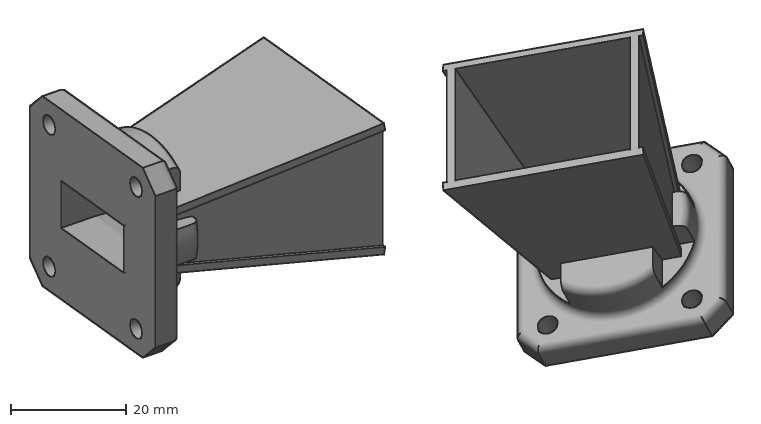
import cadquery as cq
import math

flange_side = 38.1
flange_thickness = 5.2
corner_clip = 3.85
edge_radius = 1.5
hole_diameter = 3.65
hole_spacing_x = 26.3
hole_spacing_z = 28.45

boss_diameter = 29.35
boss_end = 12.75
lug_start = 7.2
upright_lug_width = 16.75
side_lug_height = 7.2

guide_width = 19.0
guide_height = 9.45
horn_length = 49.3
mouth_height = 23.4
sheet = 1.5
plate_start_width = 23.65
plate_end_width = 36.5
plate_overhang = 0.75

horn_run = horn_length - lug_start
side_wall_start_width = plate_start_width - 2 * plate_overhang
side_wall_end_width = plate_end_width - 2 * plate_overhang
mouth_width = side_wall_end_width - (side_wall_start_width - guide_width)
flare_angle = math.atan2((mouth_height - guide_height) / 2, horn_run)


def at_depth(y):
    """Workplane facing +Y at depth y, with its local Y axis along +Z."""
    return cq.Workplane(cq.Plane(origin=(0, y, 0), xDir=(-1, 0, 0), normal=(0, 1, 0)))


def flared_block(start_width, start_height, end_width, end_height):
    """Rectangular frustum that runs the length of the horn."""
    return (
        at_depth(lug_start)
        .rect(start_width, start_height)
        .workplane(offset=horn_run)
        .rect(end_width, end_height)
        .loft(ruled=True)
    )


def make_flange():
    flange = at_depth(0).rect(flange_side, flange_side).extrude(flange_thickness)
    flange = flange.edges("|Y").chamfer(corner_clip)
    return flange.faces(">Y").edges().fillet(edge_radius)


def make_boss():
    """Boss with a rounded rim and a concave fillet at its foot, cut back to a cross."""
    radius = boss_diameter / 2
    foot_end = flange_thickness + edge_radius
    rim_start = boss_end - edge_radius
    bend = edge_radius * math.sqrt(0.5)
    boss = (
        cq.Workplane("XY")
        .lineTo(radius + edge_radius, 0)
        .lineTo(radius + edge_radius, flange_thickness)
        .threePointArc((radius + edge_radius - bend, foot_end - bend), (radius, foot_end))
        .lineTo(radius, rim_start)
        .threePointArc(
            (radius - edge_radius + bend, rim_start + bend),
            (radius - edge_radius, boss_end),
        )
        .lineTo(0, boss_end)
        .close()
        .revolve(360, (0, 0, 0), (0, 1, 0))
    )
    lug_depth = boss_end - lug_start
    upright_lugs = at_depth(lug_start).rect(upright_lug_width, boss_diameter).extrude(lug_depth)
    side_lugs = at_depth(lug_start).rect(boss_diameter, side_lug_height).extrude(lug_depth)
    base = at_depth(0).circle(boss_diameter).extrude(lug_start)
    return boss.intersect(base.union(upright_lugs).union(side_lugs))


def make_horn_plate(side):
    """Sloping top (side=1) or bottom (side=-1) sheet, with its far end cut square to the sheet."""
    rise = sheet / math.cos(flare_angle)
    end_inner = mouth_height / 2
    start_inner = guide_height / 2
    profile = (
        cq.Workplane("YZ")
        .moveTo(lug_start, side * start_inner)
        .lineTo(horn_length, side * end_inner)
        .lineTo(
            horn_length - sheet * math.sin(flare_angle),
            side * (end_inner + sheet * math.cos(flare_angle)),
        )
        .lineTo(lug_start, side * (start_inner + rise))
        .close()
        .extrude(plate_end_width / 2, both=True)
    )
    tall = 2 * flange_side
    return profile.intersect(flared_block(plate_start_width, tall, plate_end_width, tall))


side_walls = flared_block(side_wall_start_width, guide_height, side_wall_end_width, mouth_height)
flare_cavity = flared_block(guide_width, guide_height, mouth_width, mouth_height)
guide = at_depth(0).rect(guide_width, guide_height).extrude(lug_start)
screw_holes = (
    at_depth(0)
    .rect(hole_spacing_x, hole_spacing_z, forConstruction=True)
    .vertices()
    .circle(hole_diameter / 2)
    .extrude(flange_thickness + edge_radius)
)

result = make_flange().union(make_boss()).union(side_walls)
for side in (1, -1):
    result = result.union(make_horn_plate(side))
result = result.cut(guide).cut(flare_cavity).cut(screw_holes)